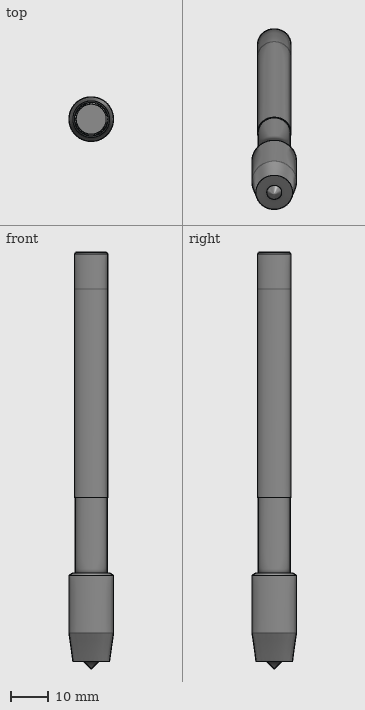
import cadquery as cq

total_length = 112.0
head_radius = 6.0

point_length = 2.0
point_radius = 2.0
nose_radius = 4.9
taper_length = 7.7
head_length = 23.9
head_top_radius = 4.9
head_chamfer_height = 0.7

neck_radius = 4.31
neck_length = 20.3
shank_radius = 4.5
drive_length = 10.0
end_chamfer_height = 0.5
end_face_radius = 4.0

taper_top_z = point_length + taper_length
head_top_z = point_length + head_length
neck_top_z = head_top_z + neck_length
drive_bottom_z = total_length - drive_length


def revolve_profile(points):
    """Revolve a closed (radius, height) outline about the Z axis."""
    return cq.Workplane("XZ").polyline(points).close().revolve(360, (0, 0), (0, 1), clean=False)


def make_cutting_head():
    """Cylindrical head with a chamfered top, a tapered nose and a conical point."""
    return revolve_profile([
        (0, 0),
        (point_radius, point_length),
        (nose_radius, point_length),
        (head_radius, taper_top_z),
        (head_radius, head_top_z - head_chamfer_height),
        (head_top_radius, head_top_z),
        (0, head_top_z),
    ])


def make_shank():
    """Neck and wider shank, with a seam at the drive end and a chamfered end face."""
    return revolve_profile([
        (0, head_top_z),
        (neck_radius, head_top_z),
        (neck_radius, neck_top_z),
        (shank_radius, neck_top_z),
        (shank_radius, drive_bottom_z),
        (shank_radius, total_length - end_chamfer_height),
        (end_face_radius, total_length),
        (0, total_length),
    ])


cutting_head = make_cutting_head()
shank = make_shank()

result = cq.Compound.makeCompound([cutting_head.val(), shank.val()])